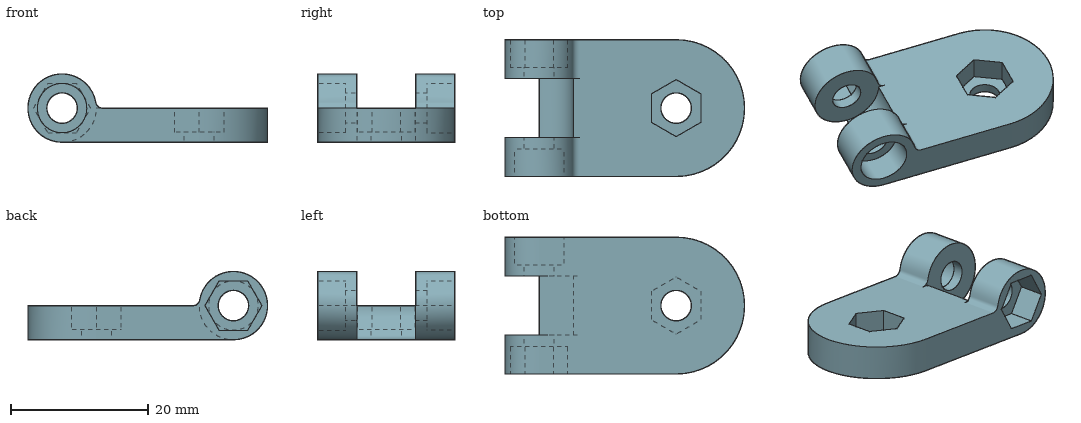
import cadquery as cq
import math

length = 35.0
thickness = length / 7
barrel_radius = thickness
width = 4 * thickness
end_radius = width / 2
end_x = length - barrel_radius - end_radius

knuckle_gap = 8.58
fillet_radius = 1.0
pin_diameter = 4.4
head_diameter = 7.2
pin_recess_depth = 4.05

nut_across_flats = 7.2

bolt_diameter = 4.4
bolt_nut_depth = 3.5


def cylinder_along_y(radius, y_start, y_length):
    """Cylinder on the barrel axis, growing from y_start toward +Y."""
    start = cq.Vector(0, y_start, 0)
    return cq.Workplane(cq.Solid.makeCylinder(radius, y_length, start, cq.Vector(0, 1, 0)))


def make_plate():
    """Flat plate with a full-width round end."""
    return (
        cq.Workplane("XY", origin=(0, 0, -thickness))
        .moveTo(0, -end_radius)
        .lineTo(end_x, -end_radius)
        .threePointArc((end_x + end_radius, 0), (end_x, end_radius))
        .lineTo(0, end_radius)
        .close()
        .extrude(thickness)
    )


def make_root_fillet():
    """Concave web between the barrel and the plate top."""
    center_distance = barrel_radius + fillet_radius
    center_x = math.sqrt(center_distance**2 - fillet_radius**2)
    ratio = barrel_radius / center_distance
    touch = (center_x * ratio, fillet_radius * ratio)
    half_angle = (math.pi + math.atan2(fillet_radius, center_x) + 1.5 * math.pi) / 2
    middle = (
        center_x + fillet_radius * math.cos(half_angle),
        fillet_radius + fillet_radius * math.sin(half_angle),
    )
    return (
        cq.Workplane("XZ", origin=(0, end_radius, 0))
        .moveTo(0, 0)
        .lineTo(center_x, 0)
        .threePointArc(middle, touch)
        .close()
        .extrude(width)
    )


def make_knuckle_gap():
    """Opening between the knuckles, with a round floor for the mating barrel."""
    gap_start = -knuckle_gap / 2
    round_floor = cylinder_along_y(barrel_radius, gap_start, knuckle_gap)
    clearance = 2 * (barrel_radius + fillet_radius)
    above = cq.Workplane("XY").box(
        2 * clearance, knuckle_gap, clearance, centered=(True, True, False)
    )
    behind = cq.Workplane("XY", origin=(-clearance / 2, 0, 0)).box(
        clearance, knuckle_gap, 2 * clearance
    )
    return round_floor.union(above).union(behind)


def make_nut_pocket(workplane, depth):
    """Hexagonal prism below a workplane, with two flats facing along its first axis."""
    corner_diameter = nut_across_flats / math.cos(math.pi / 6)
    return workplane.transformed(rotate=(0, 0, 30)).polygon(6, corner_diameter).extrude(-depth)


barrel = cylinder_along_y(barrel_radius, -end_radius, width)
body = make_plate().union(barrel).union(make_root_fillet()).cut(make_knuckle_gap())

body = body.cut(cylinder_along_y(pin_diameter / 2, -end_radius, width))
body = body.cut(cylinder_along_y(head_diameter / 2, -end_radius, pin_recess_depth))
pin_nut_face = cq.Workplane("ZX", origin=(0, end_radius, 0))
body = body.cut(make_nut_pocket(pin_nut_face, pin_recess_depth))

bolt_hole = (
    cq.Workplane("XY", origin=(end_x, 0, -thickness))
    .circle(bolt_diameter / 2)
    .extrude(thickness)
)
bolt_nut_face = cq.Workplane("XY", origin=(end_x, 0, 0))
result = body.cut(make_nut_pocket(bolt_nut_face, bolt_nut_depth)).cut(bolt_hole)